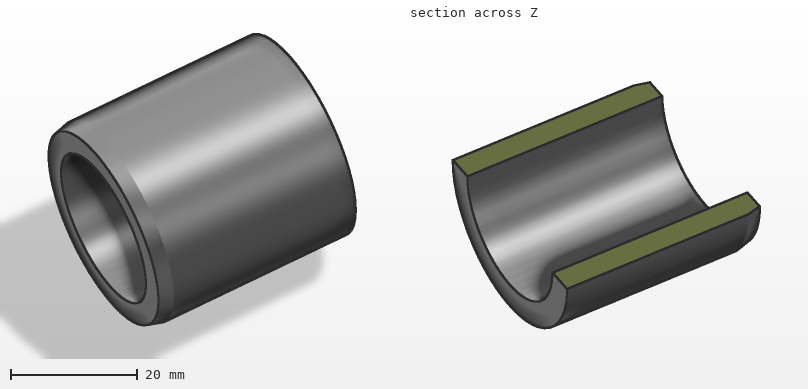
import cadquery as cq
import math

length = 36.0
outer_diameter = 35.0
bore_diameter = 26.0
taper_length = 2.5
taper_angle = 15.0

outer_radius = outer_diameter / 2
bore_radius = bore_diameter / 2
taper_depth = taper_length * math.tan(math.radians(taper_angle))
front_y = -length / 2
back_y = length / 2

wall_section = (
    cq.Workplane("XY")
    .moveTo(bore_radius, front_y)
    .lineTo(outer_radius - taper_depth, front_y)
    .lineTo(outer_radius, front_y + taper_length)
    .lineTo(outer_radius, back_y)
    .lineTo(bore_radius, back_y)
    .close()
)
result = wall_section.revolve(360, (0, 0, 0), (0, 1, 0))